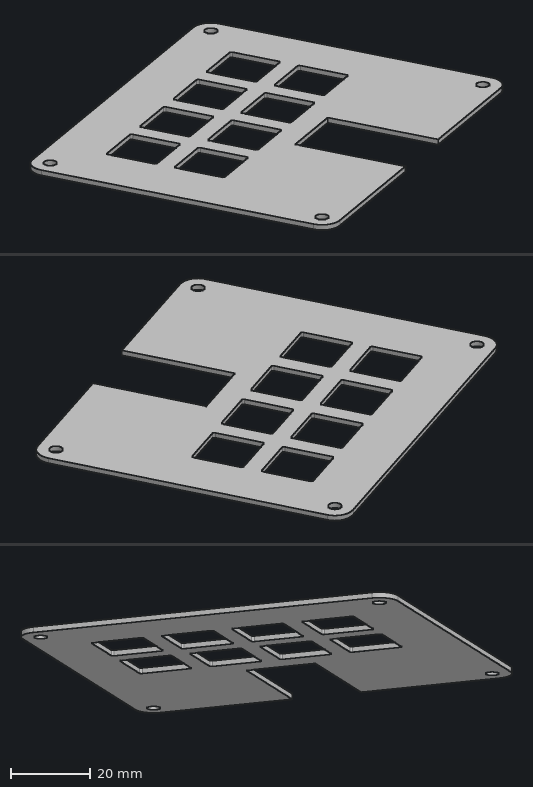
import cadquery as cq

plate_width = 86.31
plate_length = 101.96
plate_thickness = 1.5
corner_radius = 5.0

screw_hole_diameter = 3.4

key_columns = 2
key_rows = 4
key_pitch = 19.05
key_opening = 14.0
key_corner_radius = 0.5
key_field_x = -11.4
key_field_y = 0.8

notch_depth = 31.0
notch_width = 18.6
notch_center_y = 1.0


def make_plate():
    plate = cq.Workplane("XY").rect(plate_width, plate_length).extrude(plate_thickness)
    return plate.edges("|Z").fillet(corner_radius)


def make_screw_holes():
    spacing_x = plate_width - 2 * corner_radius
    spacing_y = plate_length - 2 * corner_radius
    corners = cq.Workplane("XY").rect(spacing_x, spacing_y, forConstruction=True).vertices()
    return corners.circle(screw_hole_diameter / 2).extrude(plate_thickness)


def make_key_openings():
    centers = cq.Workplane("XY").center(key_field_x, key_field_y)
    centers = centers.rarray(key_pitch, key_pitch, key_columns, key_rows)
    openings = centers.rect(key_opening, key_opening).extrude(plate_thickness)
    return openings.edges("|Z").fillet(key_corner_radius)


def make_notch():
    center_x = (plate_width - notch_depth) / 2
    notch = cq.Workplane("XY").center(center_x, notch_center_y)
    return notch.rect(notch_depth, notch_width).extrude(plate_thickness)


result = make_plate().cut(make_screw_holes()).cut(make_key_openings()).cut(make_notch())